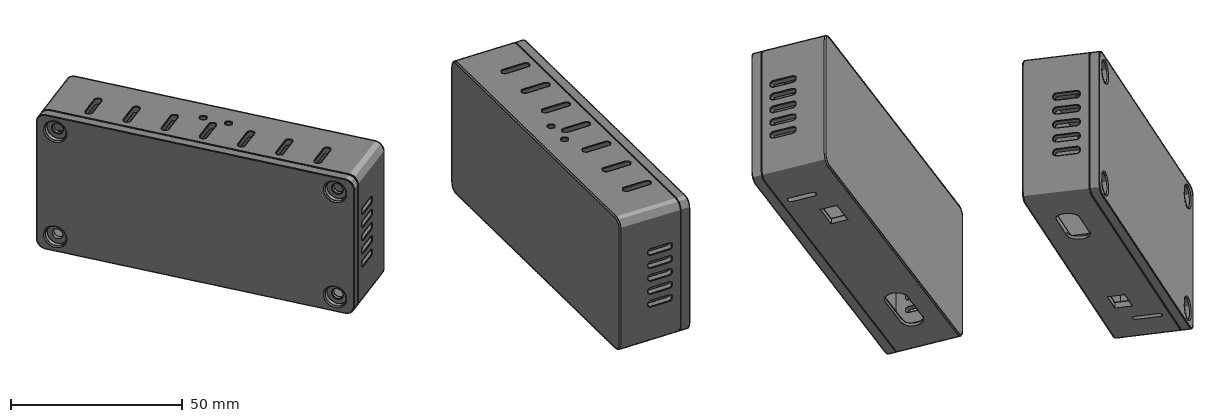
import cadquery as cq

LENGTH = 100.0
DEPTH = 23.5
HEIGHT = 46.0
CORNER_RADIUS = 3.0
LID_THICKNESS = 3.0
LID_EDGE_CHAMFER = 0.2
SEAM_CHAMFER = 0.25
BACK_EDGE_CHAMFER = 0.4
WALL = 2.0

SCREW_X = 44.0
SCREW_Z = 18.0
SCREW_DIAMETER = 3.3
SCREW_CHAMFER = 0.2
HEAD_DIAMETER = 6.5
HEAD_DEPTH = 1.8
HEAD_CHAMFER = 0.4

SLOT_WIDTH = 2.0
OPENING_CHAMFER = 0.2
TOP_SLOT_COUNT = 7
TOP_SLOT_PITCH = 12.0
TOP_SLOT_LENGTH = 9.0
TOP_SLOT_Y = 9.9
END_SLOT_COUNT = 5
END_SLOT_PITCH = 4.5
END_SLOT_LENGTH = 8.0
END_SLOT_Y = 10.0

INDICATOR_DIAMETER = 2.0
INDICATOR_COUNT = 2
INDICATOR_SPACING = 8.0
INDICATOR_Y = 16.0

CONNECTOR_X = -28.8
CONNECTOR_Y = 14.0
CONNECTOR_LENGTH = 18.0
CONNECTOR_HEIGHT = 7.0
RECESS_MARGIN = 1.0
RECESS_LENGTH = CONNECTOR_LENGTH + 2 * RECESS_MARGIN
RECESS_FRONT_Y = 10.1
RECESS_BACK_Y = CONNECTOR_Y + CONNECTOR_HEIGHT / 2
RECESS_DEPTH = 1.0

SWITCH_X = 24.0
SWITCH_LENGTH = 8.0
SWITCH_FRONT_Y = 12.2
SWITCH_BACK_Y = 17.5

CAVITY_DEPTH = DEPTH - WALL - LID_THICKNESS
FLOOR_Z = -HEIGHT / 2 + WALL


def rounded_block(length, height, front_y, depth, radius):
    """Block with its four long edges along Y rounded, running from front_y towards +Y."""
    return (
        cq.Workplane("XZ", origin=(0, front_y, 0))
        .rect(length, height)
        .extrude(-depth)
        .edges("|Y")
        .fillet(radius)
    )


def centred_positions(count, pitch):
    return [(i - (count - 1) / 2) * pitch for i in range(count)]


def chamfered_cutter(mouth, face, depth):
    """Straight cut through a wall, widened by a chamfer where it meets a wall face.

    mouth is a function that draws the cut's outline, enlarged all round by the given margin,
    on a workplane that lies in that face and whose normal points out of the wall.
    """
    straight = mouth(face, 0).extrude(-depth)
    flare = mouth(face, OPENING_CHAMFER).extrude(-OPENING_CHAMFER, taper=45)
    return straight.union(flare)


def slot_mouth(length, angle):
    """Outline of a slot of the given length, turned by angle degrees on its workplane."""

    def draw(face, margin):
        return face.slot2D(length + 2 * margin, SLOT_WIDTH + 2 * margin, angle)

    return draw


def top_slot_cutter(x, depth):
    face = cq.Workplane("XY", origin=(x, TOP_SLOT_Y, HEIGHT / 2))
    return chamfered_cutter(slot_mouth(TOP_SLOT_LENGTH, 90), face, depth)


def end_slot_cutter(z, side):
    """Slot along Y through the end wall on the given side, -1 for -X and 1 for +X."""
    outward = cq.Plane(origin=(side * LENGTH / 2, END_SLOT_Y, z), xDir=(0, 1, 0), normal=(side, 0, 0))
    return chamfered_cutter(slot_mouth(END_SLOT_LENGTH, 0), cq.Workplane(outward), WALL)


def indicator_cutter(x):
    def draw(face, margin):
        return face.circle(INDICATOR_DIAMETER / 2 + margin)

    return chamfered_cutter(draw, cq.Workplane("XY", origin=(x, INDICATOR_Y, HEIGHT / 2)), WALL)


def connector_cutter():
    opening = (
        cq.Workplane("XY", origin=(CONNECTOR_X, CONNECTOR_Y, FLOOR_Z))
        .slot2D(CONNECTOR_LENGTH, CONNECTOR_HEIGHT)
        .extrude(-WALL)
    )
    recess = (
        cq.Workplane("YZ", origin=(CONNECTOR_X, 0, FLOOR_Z))
        .moveTo(RECESS_FRONT_Y, 0)
        .lineTo(RECESS_FRONT_Y + RECESS_DEPTH, -RECESS_DEPTH)
        .lineTo(RECESS_BACK_Y, -RECESS_DEPTH)
        .lineTo(RECESS_BACK_Y, 0)
        .close()
        .extrude(RECESS_LENGTH / 2, both=True)
    )
    return opening.union(recess)


def switch_cutter():
    """Rectangular cut with its mouth chamfer on the inner side of the bottom wall."""
    width = SWITCH_BACK_Y - SWITCH_FRONT_Y

    def draw(face, margin):
        return face.rect(SWITCH_LENGTH + 2 * margin, width + 2 * margin)

    face = cq.Workplane("XY", origin=(SWITCH_X, SWITCH_FRONT_Y + width / 2, FLOOR_Z))
    return chamfered_cutter(draw, face, WALL)


def make_housing():
    shell = rounded_block(LENGTH, HEIGHT, LID_THICKNESS, DEPTH - LID_THICKNESS, CORNER_RADIUS)
    shell = shell.faces(">Y").chamfer(BACK_EDGE_CHAMFER)
    shell = shell.faces("<Y").chamfer(SEAM_CHAMFER)
    cavity = rounded_block(
        LENGTH - 2 * WALL, HEIGHT - 2 * WALL, LID_THICKNESS, CAVITY_DEPTH, CORNER_RADIUS - WALL
    )
    housing = shell.cut(cavity)

    slot_positions = centred_positions(TOP_SLOT_COUNT, TOP_SLOT_PITCH)
    for x in slot_positions:
        depth = HEIGHT if x == slot_positions[-1] else WALL
        housing = housing.cut(top_slot_cutter(x, depth))
    for z in centred_positions(END_SLOT_COUNT, END_SLOT_PITCH):
        for side in (-1, 1):
            housing = housing.cut(end_slot_cutter(z, side))
    for x in centred_positions(INDICATOR_COUNT, INDICATOR_SPACING):
        housing = housing.cut(indicator_cutter(x))

    return housing.cut(connector_cutter()).cut(switch_cutter())


def cone_cutter(x, z, front_y, hole_diameter, chamfer):
    """45 degree countersink that widens a hole by one chamfer width at front_y."""
    hole_radius = hole_diameter / 2
    mouth = cq.Vector(x, front_y, z)
    inward = cq.Vector(0, 1, 0)
    cone = cq.Solid.makeCone(hole_radius + chamfer, hole_radius, chamfer, mouth, inward)
    return cq.Workplane(cone)


def make_lid():
    lid = rounded_block(LENGTH, HEIGHT, 0, LID_THICKNESS, CORNER_RADIUS)
    lid = lid.faces("<Y").chamfer(LID_EDGE_CHAMFER)
    for x in (-SCREW_X, SCREW_X):
        for z in (-SCREW_Z, SCREW_Z):
            centre = cq.Workplane("XZ", origin=(x, 0, z))
            lid = lid.cut(centre.circle(HEAD_DIAMETER / 2).extrude(-HEAD_DEPTH))
            lid = lid.cut(centre.circle(SCREW_DIAMETER / 2).extrude(-LID_THICKNESS))
            lid = lid.cut(cone_cutter(x, z, 0, HEAD_DIAMETER, HEAD_CHAMFER))
            if x > 0 or z > 0:
                lid = lid.cut(cone_cutter(x, z, HEAD_DEPTH, SCREW_DIAMETER, SCREW_CHAMFER))
    return lid


housing = make_housing()
lid = make_lid()
result = cq.Compound.makeCompound([housing.val(), lid.val()])